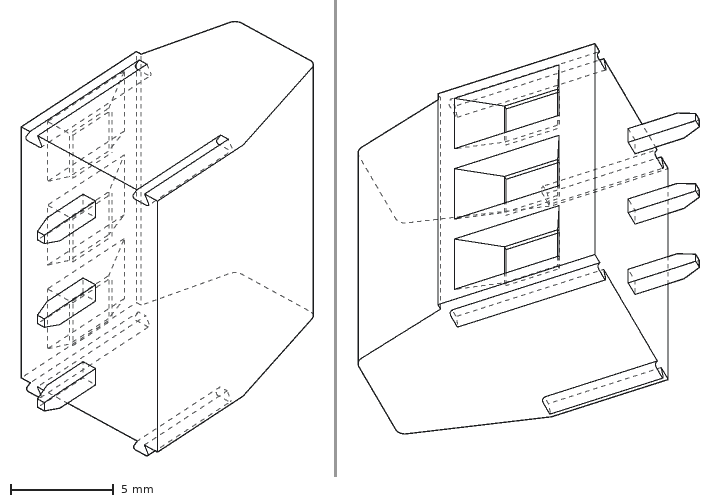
import cadquery as cq
import math


pole_count = 3
pitch = 5.08
row_length = pole_count * pitch
pole_centres = [(pole + 0.5) * pitch for pole in range(pole_count)]

total_length = 17
housing_width = 9.0
housing_depth = 13.5
half_width = housing_width / 2
entry_wall_depth = 8.33
entry_ledge = 0.32
back_slope_start = 6.19
nose_left_inset = 1.87
nose_right_inset = 1.87
nose_radius = 0.5

entry_front = 1.9
entry_length = 5.56
entry_height = 3.64
floor_front = 2.41
floor_length = 2.82
floor_height = 2.6
taper_depth = 1.0
floor_recess = 0.2

pin_width = 0.83
pin_height = 0.99
pin_length = total_length - housing_depth
pin_tip_width = 0.46
pin_tip_height = 0.51
pin_tip_length = 0.9

dovetail_inset = 0.83
dovetail_spacing = 7.05
dovetail_flank_angle = 30
dovetail_tip_radius = 0.14
rib_neck = 0.48
rib_height = 0.6
groove_neck = 0.51
groove_depth = 0.63
left_dovetail_x = dovetail_inset - half_width
right_dovetail_x = left_dovetail_x + dovetail_spacing
left_groove_length = 7.9
right_groove_length = 6.05
rib_end_gap = 0.07


def make_housing():
    """Prism with a sloped nose, extruded along the row of poles."""
    nose_left = nose_left_inset - half_width
    nose_right = half_width - nose_right_inset
    outline = [
        (-half_width, 0),
        (half_width, 0),
        (half_width, back_slope_start),
        (nose_right, housing_depth),
        (nose_left, housing_depth),
        (entry_ledge - half_width, entry_wall_depth),
        (-half_width, entry_wall_depth),
    ]
    housing = cq.Workplane("XY").polyline(outline).close().extrude(row_length)
    return housing.edges("|Z and >Y").fillet(nose_radius)


def make_wire_entry(z):
    """Pocket in the -X wall: a tapered mouth, then a shallow straight recess to the flat floor."""
    mouth_y = entry_front + entry_length / 2
    floor_y = floor_front + floor_length / 2
    taper = (
        cq.Workplane("YZ", origin=(-half_width, 0, z))
        .center(mouth_y, 0)
        .rect(entry_length, entry_height)
        .workplane(offset=taper_depth)
        .center(floor_y - mouth_y, 0)
        .rect(floor_length, floor_height)
        .loft(ruled=True)
    )
    recess = (
        cq.Workplane("YZ", origin=(taper_depth - half_width, floor_y, z))
        .rect(floor_length, floor_height)
        .extrude(floor_recess)
    )
    return taper.union(recess)


def make_pin(z):
    """Rectangular pin pointing to -Y with a tapered tip."""
    shank_length = pin_length - pin_tip_length
    shank = cq.Workplane("XZ", origin=(0, 0, z)).rect(pin_width, pin_height).extrude(shank_length)
    tip = (
        shank.faces("<Y")
        .workplane(origin=(0, -shank_length, z))
        .rect(pin_width, pin_height)
        .workplane(offset=pin_tip_length)
        .rect(pin_tip_width, pin_tip_height)
        .loft(ruled=True, combine=False)
    )
    return shank.union(tip)


def make_dovetail(x, top_z, neck, height, length):
    """Bar along Y that widens downwards from its neck to rounded tips."""
    width = neck + 2 * height * math.tan(math.radians(dovetail_flank_angle))
    section = [
        (-neck / 2, 0),
        (neck / 2, 0),
        (width / 2, -height),
        (-width / 2, -height),
    ]
    bar = cq.Workplane("XZ", origin=(x, 0, top_z)).polyline(section).close().extrude(-length)
    return bar.edges("|Y and <Z").fillet(dovetail_tip_radius)


result = make_housing()

for z in pole_centres:
    result = result.cut(make_wire_entry(z)).union(make_pin(z))

dovetails = [
    (left_dovetail_x, left_groove_length),
    (right_dovetail_x, right_groove_length),
]
for x, groove_length in dovetails:
    groove = make_dovetail(x, row_length, groove_neck, groove_depth, groove_length)
    rib = make_dovetail(x, 0, rib_neck, rib_height, groove_length - rib_end_gap)
    result = result.cut(groove).union(rib)